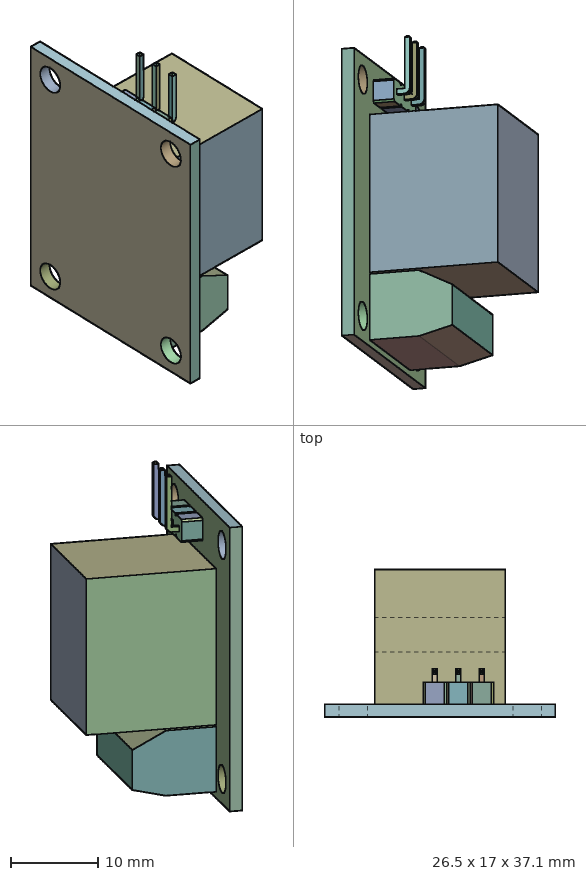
import cadquery as cq

BOARD_WIDTH = 26.5
BOARD_HEIGHT = 34.0
BOARD_THICKNESS = 1.5

HOLE_DIAMETER = 3.3
HOLE_SPACING_X = 20.0
HOLE_SPACING_Z = 28.0

RELAY_WIDTH = 15.0
RELAY_HEIGHT = 18.7
RELAY_DEPTH = 15.5
RELAY_BOTTOM = 8.77

TERMINAL_WIDTH = 15.0
TERMINAL_DEPTH = 10.0
TERMINAL_STRAIGHT_DEPTH = 6.0
TERMINAL_BOTTOM = 0.75
TERMINAL_HEIGHT = 7.8
TERMINAL_LOWER_TAPER = 1.0
TERMINAL_UPPER_TAPER = 2.0

PIN_COUNT = 3
PIN_PITCH = 2.7
HEADER_CENTER_X = 15.35
HEADER_CENTER_Z = 30.57
HEADER_HEIGHT = 2.75
HEADER_DEPTH = 2.5
HEADER_CHAMFER = 0.25

PIN_SIZE = 0.6
PIN_CENTER_Y = 5.25
PIN_TOP = 37.12
PIN_BEND_RADIUS = 0.59
PIN_TIP_LENGTH = 0.2
PIN_TIP_INSET = 0.2

CENTER_X = BOARD_WIDTH / 2
HEADER_BACK = BOARD_THICKNESS + HEADER_DEPTH


def make_box(center_x, width, front_y, depth, bottom_z, height):
    """Box centred in X that grows back from front_y and up from bottom_z."""
    corner = (center_x - width / 2, front_y, bottom_z)
    return cq.Workplane("XY").box(width, depth, height, centered=False).translate(corner)


def make_board():
    board = make_box(CENTER_X, BOARD_WIDTH, 0, BOARD_THICKNESS, 0, BOARD_HEIGHT)
    holes = (
        cq.Workplane("XZ", origin=(CENTER_X, 0, BOARD_HEIGHT / 2))
        .rect(HOLE_SPACING_X, HOLE_SPACING_Z, forConstruction=True)
        .vertices()
        .circle(HOLE_DIAMETER / 2)
        .extrude(-BOARD_THICKNESS)
    )
    return board.cut(holes)


def make_relay():
    return make_box(CENTER_X, RELAY_WIDTH, BOARD_THICKNESS, RELAY_DEPTH, RELAY_BOTTOM, RELAY_HEIGHT)


def make_terminal():
    """Straight block whose back end tapers on the top and the bottom."""
    straight_y = BOARD_THICKNESS + TERMINAL_STRAIGHT_DEPTH
    back_y = BOARD_THICKNESS + TERMINAL_DEPTH
    top_z = TERMINAL_BOTTOM + TERMINAL_HEIGHT
    profile = [
        (BOARD_THICKNESS, TERMINAL_BOTTOM),
        (straight_y, TERMINAL_BOTTOM),
        (back_y, TERMINAL_BOTTOM + TERMINAL_LOWER_TAPER),
        (back_y, top_z - TERMINAL_UPPER_TAPER),
        (straight_y, top_z),
        (BOARD_THICKNESS, top_z),
    ]
    left_x = CENTER_X - TERMINAL_WIDTH / 2
    return cq.Workplane("YZ", origin=(left_x, 0, 0)).polyline(profile).close().extrude(TERMINAL_WIDTH)


def make_header_cell(center_x):
    """One cell of the header with its four long edges chamfered."""
    bottom_z = HEADER_CENTER_Z - HEADER_HEIGHT / 2
    cell = make_box(center_x, PIN_PITCH, BOARD_THICKNESS, HEADER_DEPTH, bottom_z, HEADER_HEIGHT)
    return cell.edges("|Y").chamfer(HEADER_CHAMFER)


def make_pin(center_x):
    """Square pin that leaves the header, bends upward and ends in a tapered tip."""
    half = PIN_SIZE / 2
    back_y = PIN_CENTER_Y + half
    shank_top = PIN_TOP - PIN_TIP_LENGTH
    foot_bottom = HEADER_CENTER_Z - half
    foot = make_box(center_x, PIN_SIZE, HEADER_BACK, back_y - HEADER_BACK, foot_bottom, PIN_SIZE)
    shank_front = PIN_CENTER_Y - half
    shank_height = shank_top - foot_bottom
    shank = make_box(center_x, PIN_SIZE, shank_front, PIN_SIZE, foot_bottom, shank_height)
    body = foot.union(shank).clean()
    body = body.edges("|X").edges(">Y and <Z").fillet(PIN_BEND_RADIUS)
    tip_width = PIN_SIZE - 2 * PIN_TIP_INSET
    tip = (
        cq.Workplane("XY", origin=(center_x, PIN_CENTER_Y, shank_top))
        .rect(PIN_SIZE, PIN_SIZE)
        .workplane(offset=PIN_TIP_LENGTH)
        .rect(tip_width, tip_width)
        .loft()
    )
    return body.union(tip)


result = make_board().union(make_relay()).union(make_terminal())
for index in range(PIN_COUNT):
    pin_x = HEADER_CENTER_X + (index - (PIN_COUNT - 1) / 2) * PIN_PITCH
    result = result.union(make_header_cell(pin_x)).union(make_pin(pin_x))